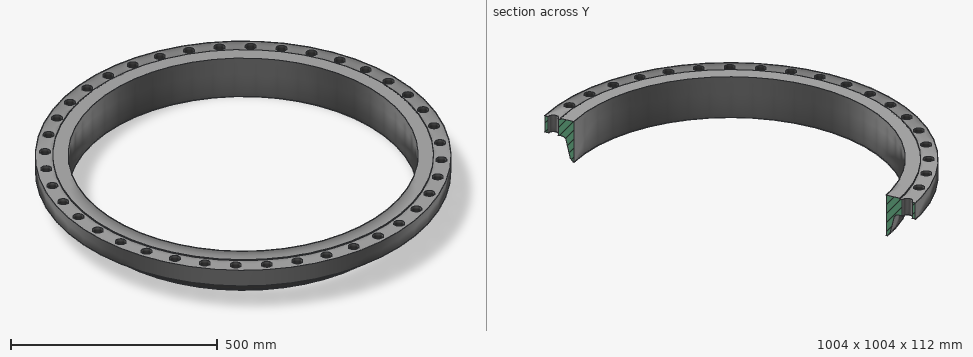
import cadquery as cq
import math

outer_radius = 502.0
bore_radius = 423.0
total_height = 112.0

raised_face_radius = 460.0
raised_face_height = 3.0
flange_underside_depth = 48.0

hub_top_radius = 447.0
hub_bottom_radius = 434.0
bevel_height = 9.0
hub_tip_radius = 426.0
hub_fillet_radius = 10.0

bolt_count = 40
bolt_circle_radius = 479.0
bolt_hole_diameter = 26.0

flange_top = total_height - raised_face_height
flange_bottom = total_height - flange_underside_depth


def ring_body():
    """Revolve the flange and hub section around the Z axis."""
    taper_angle = math.atan2(hub_top_radius - hub_bottom_radius, flange_bottom - bevel_height)
    arc_sweep = math.pi / 2 - taper_angle
    tangent_length = hub_fillet_radius * math.tan(arc_sweep / 2)
    center_x = hub_top_radius + tangent_length
    center_z = flange_bottom - hub_fillet_radius

    def fillet_point(sweep):
        return (
            center_x - hub_fillet_radius * math.sin(sweep),
            center_z + hub_fillet_radius * math.cos(sweep),
        )

    section = (
        cq.Workplane("XZ")
        .moveTo(bore_radius, 0)
        .lineTo(hub_tip_radius, 0)
        .lineTo(hub_bottom_radius, bevel_height)
        .lineTo(*fillet_point(arc_sweep))
        .threePointArc(fillet_point(arc_sweep / 2), fillet_point(0))
        .lineTo(outer_radius, flange_bottom)
        .lineTo(outer_radius, flange_top)
        .lineTo(raised_face_radius, flange_top)
        .lineTo(raised_face_radius, total_height)
        .lineTo(bore_radius, total_height)
        .close()
    )
    return section.revolve(360, (0, 0, 0), (0, 1, 0))


def bolt_holes():
    """Cylinders through the flange plate, one of them on the +X axis."""
    return (
        cq.Workplane("XY")
        .workplane(offset=flange_bottom)
        .polarArray(bolt_circle_radius, 0, 360, bolt_count)
        .circle(bolt_hole_diameter / 2)
        .extrude(total_height - flange_bottom)
    )


result = ring_body().cut(bolt_holes())